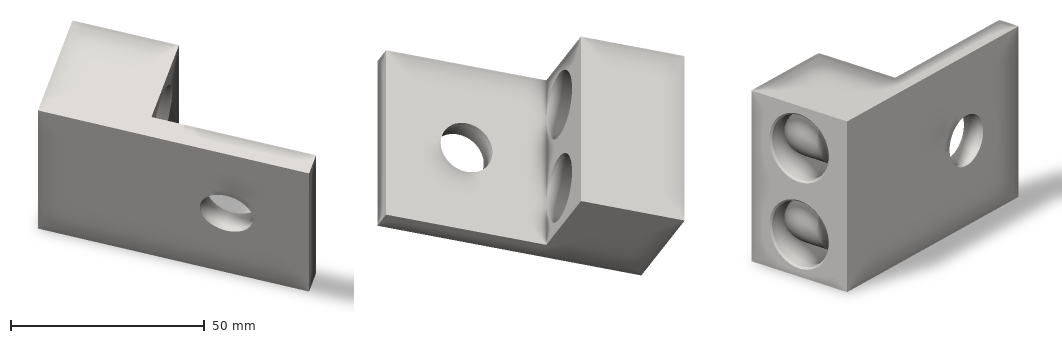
import cadquery as cq

LENGTH = 73.0
DEPTH = 31.1
HEIGHT = 48.6
BLOCK_LENGTH = 28.7
TONGUE_THICKNESS = 6.3

STUD_DIAMETER = 14.3
STUD_X = 50.7

BORE_DIAMETER = 18.3
BORE_SPACING = 24.6
MOUTH_CHAMFER = 0.5
BORE_Y = DEPTH / 2
BORE_HEIGHTS = [HEIGHT / 2 - BORE_SPACING / 2, HEIGHT / 2 + BORE_SPACING / 2]

SCREW_DIAMETER = 17.4
SCREW_X = BLOCK_LENGTH / 2
SHANK_END_Y = 13.9
CONE_END_Y = 9.5
TIP_DIAMETER = 2.85
TIP_Y = 9.3


def make_lug():
    """L-shaped lug with a stud hole, two wire bores and two screw holes."""
    block = cq.Workplane("XY").box(BLOCK_LENGTH, DEPTH, HEIGHT, centered=False)
    tongue = cq.Workplane("XY").box(LENGTH, TONGUE_THICKNESS, HEIGHT, centered=False)
    lug = block.union(tongue)
    lug = lug.cut(make_stud_hole())
    for bore_z in BORE_HEIGHTS:
        lug = lug.cut(make_wire_bore(bore_z)).cut(make_screw_hole(bore_z))
    return lug


def make_stud_hole():
    """Cylinder that cuts the stud hole through the tongue along Y."""
    return (
        cq.Workplane("XZ", origin=(STUD_X, 0, HEIGHT / 2))
        .circle(STUD_DIAMETER / 2)
        .extrude(-TONGUE_THICKNESS)
    )


def make_wire_bore(bore_z):
    """Cutter for a bore along X through the block, with a chamfered mouth on the -X face."""
    radius = BORE_DIAMETER / 2
    mouth_radius = radius + MOUTH_CHAMFER
    return (
        cq.Workplane("XY", origin=(0, BORE_Y, bore_z))
        .polyline([
            (0, 0),
            (0, mouth_radius),
            (MOUTH_CHAMFER, radius),
            (BLOCK_LENGTH, radius),
            (BLOCK_LENGTH, 0),
        ])
        .close()
        .revolve(360, (0, 0, 0), (1, 0, 0))
    )


def make_screw_hole(bore_z):
    """Cutter for the screw hole, from the +Y face to the middle of the wire bore."""
    return (
        cq.Workplane("XZ", origin=(SCREW_X, DEPTH, bore_z))
        .circle(SCREW_DIAMETER / 2)
        .extrude(DEPTH - BORE_Y)
    )


def make_set_screw(bore_z):
    """Cone-point set screw, with a domed tip, from the +Y face into the wire bore."""
    dome_rise = CONE_END_Y - TIP_Y
    dome_radius = ((TIP_DIAMETER / 2) ** 2 + dome_rise ** 2) / (2 * dome_rise)
    return (
        cq.Workplane("XY", origin=(SCREW_X, 0, bore_z))
        .moveTo(0, DEPTH)
        .lineTo(SCREW_DIAMETER / 2, DEPTH)
        .lineTo(SCREW_DIAMETER / 2, SHANK_END_Y)
        .lineTo(TIP_DIAMETER / 2, CONE_END_Y)
        .radiusArc((0, TIP_Y), dome_radius)
        .close()
        .revolve(360, (0, 0, 0), (0, 1, 0))
    )


lug = make_lug()
set_screws = [make_set_screw(bore_z) for bore_z in BORE_HEIGHTS]

result = cq.Compound.makeCompound([lug.val(), *[screw.val() for screw in set_screws]])